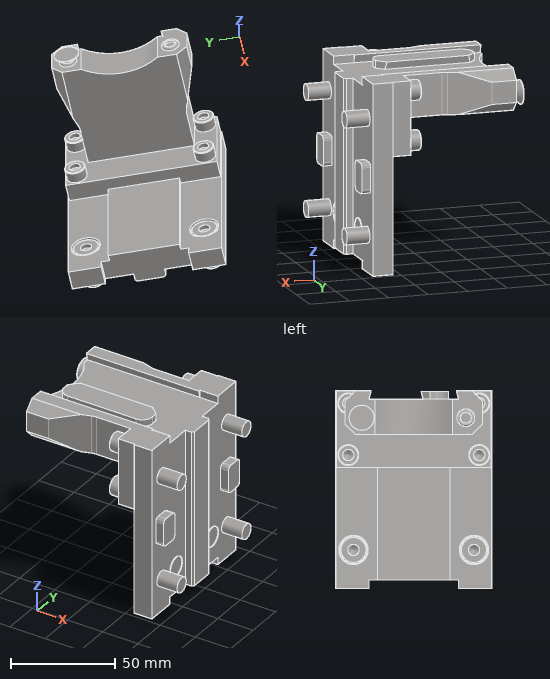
import math

import cadquery as cq


PLATE_WIDTH = 75.0
PLATE_HEIGHT = 95.0
PLATE_THICKNESS = 10.2
SLOT_WIDTH = 42.8
SLOT_DEPTH = 4.1
MID_HEIGHT = PLATE_HEIGHT / 2
PLATE_FRONT = -PLATE_THICKNESS
SLOT_FLOOR = PLATE_HEIGHT - SLOT_DEPTH

PANEL_WIDTH = 34.8
PANEL_RISE = 3.0

FLANGE_WIDTH = 74.0
FLANGE_HEIGHT = 36.8
FLANGE_FRONT = -19.4
FLANGE_FLOOR = PLATE_HEIGHT - FLANGE_HEIGHT

ARM_TIP = -74.2
ARM_HEIGHT = 21.0
ARM_TIP_WIDTH = 66.0
ARM_ROOT_WIDTH = 52.0
ARM_WIDE_LENGTH = 12.5
ARM_TAPER_ANGLE = 18.0
ARM_TAPER_RADIUS = 8.0
ARM_EDGE_CHAMFER = 5.0
ARM_FLOOR = PLATE_HEIGHT - ARM_HEIGHT
DOVETAIL_MOUTH = 40.8

SADDLE_WIDTH = 37.2
SADDLE_DEPTH = 5.9

PAD_FRONT = -66.7
PAD_BACK = -16.6
PAD_OUTER = -16.7
PAD_INNER = -3.5
PAD_HEIGHT = 3.75
PAD_CHAMFER = 4.4
PAD_RADIUS = 5.6
PAD_UNDERCUT = 0.9

FLANGE_SCREW_HEAD = 10.0
FLANGE_SCREW_HEAD_HEIGHT = 5.7
FLANGE_SCREW_CHAMFER = 0.35
FLANGE_SCREW_Y = 31.4
FLANGE_SCREW_DROPS = (6.1, 30.9)

BOLT_OFFSET = 28.9
BOLT_DIAMETER = 8.2
BOLT_PROJECTION = 11.5
BOLT_HEAD = 13.2
BOLT_HEAD_CHAMFER = 0.6
BOLT_HEAD_RECESS = 0.4
COUNTERBORE = 14.1
COUNTERBORE_DEPTH = 5.4

SOCKET_DIAMETER = 5.4
SOCKET_DEPTH = 2.5
SOCKET_POINT_ANGLE = 118.0

KEY_WIDTH = 15.1
KEY_HEIGHT = 4.4
KEY_CHAMFER = 1.0
SIDE_KEY_LENGTH = 10.0
SIDE_KEY_RADIUS = 2.0

REAR_PAD_DIAMETER = 10.6
REAR_PAD_HEIGHT = 0.35
REAR_PAD_Y = 16.1

COLLAR_Y = 25.0
COLLAR_DROP = 13.0
COLLAR_DIAMETER = 8.5
COLLAR_HEIGHT = 1.1
COLLAR_RADIUS = 0.9
COLLAR_BORE = 5.2
COLLAR_BORE_DEPTH = 1.0
CONE_SCREW_TIP = -78.75
CONE_SCREW_HEAD = 12.0
CONE_SCREW_RIM = 0.3


def box(x_range, width, z_range):
    """Block centred on Y = 0."""
    x_low, x_high = x_range
    z_low, z_high = z_range
    size = (x_high - x_low, width, z_high - z_low)
    return cq.Workplane("XY").box(*size, centered=(False, True, False)).translate((x_low, 0, z_low))


def rod(x, y, z, diameter, length):
    """Cylinder that runs from X = x towards +X."""
    return cq.Workplane("YZ", origin=(x, y, z)).circle(diameter / 2).extrude(length)


def drilled_socket(x, y, z):
    """Blind hole with a conical end, drilled towards +X."""
    radius = SOCKET_DIAMETER / 2
    point_length = radius / math.tan(math.radians(SOCKET_POINT_ANGLE / 2))
    return (
        cq.Workplane("XY")
        .polyline([(0, 0), (0, radius), (SOCKET_DEPTH, radius), (SOCKET_DEPTH + point_length, 0)])
        .close()
        .revolve(360, (0, 0, 0), (1, 0, 0))
        .translate((x, y, z))
    )


def screw_head(x, y, z, diameter, length, chamfer):
    """Cap head with its chamfered face and socket at X = x."""
    head = rod(x, y, z, diameter, length).faces("<X").chamfer(chamfer)
    return head.cut(drilled_socket(x, y, z))


def make_plate():
    plate = box((PLATE_FRONT, 0), PLATE_WIDTH, (0, PLATE_HEIGHT))
    panel_front = PLATE_FRONT - PANEL_RISE
    plate = plate.union(box((panel_front, PLATE_FRONT), PANEL_WIDTH, (SLOT_DEPTH, SLOT_FLOOR)))
    for z_range in ((0, SLOT_DEPTH), (SLOT_FLOOR, PLATE_HEIGHT)):
        plate = plate.cut(box((PLATE_FRONT, 0), SLOT_WIDTH, z_range))
    return plate


def make_arm_blank():
    """Tapered plan outline, trimmed to an octagonal section by the edge chamfers."""
    tip = ARM_TIP_WIDTH / 2
    root = ARM_ROOT_WIDTH / 2
    taper_start = ARM_TIP + ARM_WIDE_LENGTH
    taper_end = taper_start + (tip - root) / math.tan(math.radians(ARM_TAPER_ANGLE))
    half_outline = [(ARM_TIP, tip), (taper_start, tip), (taper_end, root), (PLATE_FRONT, root)]
    outline = half_outline + [(x, -y) for x, y in reversed(half_outline)]
    blank = cq.Workplane("XY", origin=(0, 0, ARM_FLOOR)).polyline(outline).close().extrude(ARM_HEIGHT)
    for y in (-root, root):
        taper_corner = cq.selectors.NearestToPointSelector((taper_end, y, ARM_FLOOR + ARM_HEIGHT / 2))
        blank = blank.edges("|Z").edges(taper_corner).fillet(ARM_TAPER_RADIUS)
    section = box((ARM_TIP, PLATE_FRONT), ARM_TIP_WIDTH, (ARM_FLOOR, PLATE_HEIGHT))
    section = section.edges("|X").chamfer(ARM_EDGE_CHAMFER)
    return blank.intersect(section)


def make_saddle_cutter():
    half = SADDLE_WIDTH / 2
    return (
        cq.Workplane("XY", origin=(0, 0, ARM_FLOOR))
        .moveTo(ARM_TIP, -half)
        .threePointArc((ARM_TIP + SADDLE_DEPTH, 0), (ARM_TIP, half))
        .close()
        .extrude(ARM_HEIGHT)
    )


def make_dovetail_cutter():
    mouth = DOVETAIL_MOUTH / 2
    base = SLOT_WIDTH / 2
    return (
        cq.Workplane("YZ", origin=(ARM_TIP, 0, 0))
        .polyline([(-base, SLOT_FLOOR), (base, SLOT_FLOOR), (mouth, PLATE_HEIGHT), (-mouth, PLATE_HEIGHT)])
        .close()
        .extrude(PLATE_FRONT - ARM_TIP)
    )


def make_arm():
    flange = box((FLANGE_FRONT, PLATE_FRONT), FLANGE_WIDTH, (FLANGE_FLOOR, PLATE_HEIGHT))
    arm = make_arm_blank().union(flange)
    return arm.cut(make_saddle_cutter()).cut(make_dovetail_cutter())


def make_pad():
    """Clamping pad: two chamfered corners, two round ones and one undercut long side."""
    length = PAD_BACK - PAD_FRONT
    pad = (
        cq.Workplane("YZ", origin=(PAD_FRONT, 0, SLOT_FLOOR))
        .polyline([
            (PAD_OUTER, 0),
            (PAD_INNER - PAD_UNDERCUT, 0),
            (PAD_INNER, PAD_HEIGHT),
            (PAD_OUTER, PAD_HEIGHT),
        ])
        .close()
        .extrude(length)
    )
    plan = (
        cq.Workplane("XY", origin=(PAD_FRONT, PAD_OUTER, SLOT_FLOOR))
        .box(length, PAD_INNER - PAD_OUTER, PAD_HEIGHT, centered=False)
        .edges("|Z and >Y")
        .chamfer(PAD_CHAMFER)
        .edges("|Z and <Y")
        .fillet(PAD_RADIUS)
    )
    return pad.intersect(plan)


def add_flange_screws(body):
    head_front = FLANGE_FRONT - FLANGE_SCREW_HEAD_HEIGHT
    for y in (-FLANGE_SCREW_Y, FLANGE_SCREW_Y):
        for drop in FLANGE_SCREW_DROPS:
            head = screw_head(
                head_front, y, PLATE_HEIGHT - drop,
                FLANGE_SCREW_HEAD, FLANGE_SCREW_HEAD_HEIGHT, FLANGE_SCREW_CHAMFER,
            )
            body = body.union(head)
    return body


def add_mounting_bolts(body):
    """Four bolt shanks behind the plate; the lower two heads sit in open counterbores."""
    lower_z = MID_HEIGHT - BOLT_OFFSET
    upper_z = MID_HEIGHT + BOLT_OFFSET
    head_front = PLATE_FRONT + BOLT_HEAD_RECESS
    head_length = COUNTERBORE_DEPTH - BOLT_HEAD_RECESS
    for y in (-BOLT_OFFSET, BOLT_OFFSET):
        body = body.cut(rod(PLATE_FRONT, y, lower_z, COUNTERBORE, COUNTERBORE_DEPTH))
        body = body.union(screw_head(head_front, y, lower_z, BOLT_HEAD, head_length, BOLT_HEAD_CHAMFER))
        for z in (lower_z, upper_z):
            body = body.union(rod(0, y, z, BOLT_DIAMETER, BOLT_PROJECTION))
    return body


def add_rear_keys(body):
    key = box((0, KEY_HEIGHT), KEY_WIDTH, (SLOT_DEPTH, SLOT_FLOOR))
    body = body.union(key.edges("|Z and >X").chamfer(KEY_CHAMFER))
    side_key_z = (MID_HEIGHT - KEY_WIDTH / 2, MID_HEIGHT + KEY_WIDTH / 2)
    side_key = box((0, KEY_HEIGHT), SIDE_KEY_LENGTH, side_key_z)
    side_key = side_key.edges("|X").fillet(SIDE_KEY_RADIUS)
    for y in (-BOLT_OFFSET, BOLT_OFFSET):
        body = body.union(side_key.translate((0, y, 0)))
    return body


def add_rear_pads(body):
    for y in (-REAR_PAD_Y, REAR_PAD_Y):
        body = body.union(rod(0, y, MID_HEIGHT - BOLT_OFFSET, REAR_PAD_DIAMETER, REAR_PAD_HEIGHT))
    return body


def make_cone_screw(z):
    """Countersunk head whose 45 degree cone seats in the bottom of the collar bore."""
    head_radius = CONE_SCREW_HEAD / 2
    cone_start = CONE_SCREW_TIP + CONE_SCREW_RIM
    seat = ARM_TIP - COLLAR_HEIGHT + COLLAR_BORE_DEPTH
    seat_radius = head_radius - (seat - cone_start)
    return (
        cq.Workplane("XY")
        .polyline([
            (CONE_SCREW_TIP, 0),
            (CONE_SCREW_TIP, head_radius),
            (cone_start, head_radius),
            (seat, seat_radius),
            (seat, 0),
        ])
        .close()
        .revolve(360, (0, 0, 0), (1, 0, 0))
        .translate((0, COLLAR_Y, z))
    )


def add_tip_collars(body):
    collar_front = ARM_TIP - COLLAR_HEIGHT
    z = PLATE_HEIGHT - COLLAR_DROP
    for y in (-COLLAR_Y, COLLAR_Y):
        collar = rod(collar_front, y, z, COLLAR_DIAMETER, COLLAR_HEIGHT)
        collar = collar.faces("<X").edges().fillet(COLLAR_RADIUS)
        collar = collar.cut(rod(collar_front, y, z, COLLAR_BORE, COLLAR_BORE_DEPTH))
        body = body.union(collar)
    return body.union(make_cone_screw(z))


result = make_plate().union(make_arm()).union(make_pad())
result = add_flange_screws(result)
result = add_mounting_bolts(result)
result = add_rear_keys(result)
result = add_rear_pads(result)
result = add_tip_collars(result)